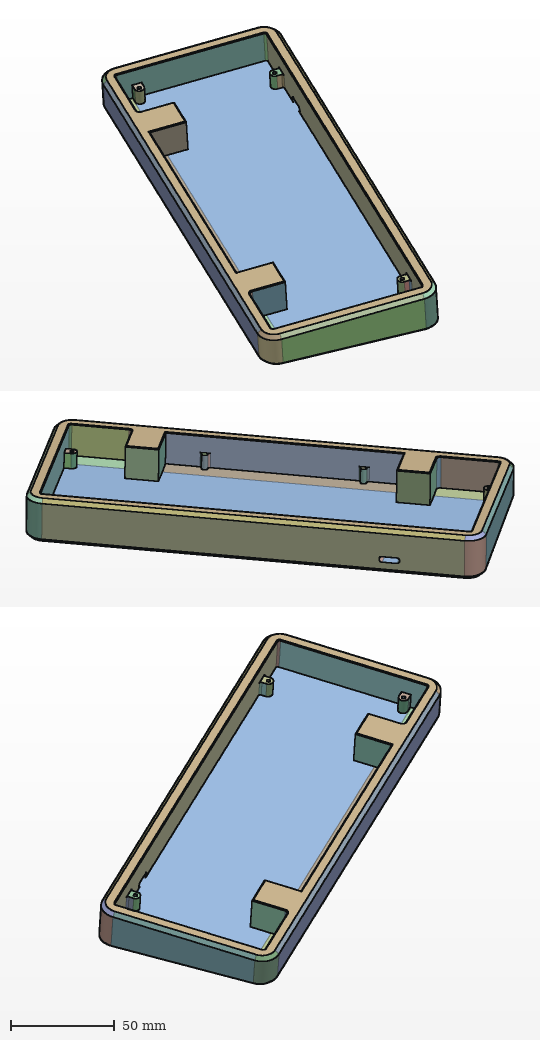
import cadquery as cq
import math

length = 225.3
depth = 92.0
back_height = 23.0
typing_angle = 3.0
outer_radius = 9.0
edge_chamfer = 2.0

wall = 7.0
front_wall = 6.8
cavity_radius = 1.1
cavity_depth = 17.3
base_thickness = 1.73
mouth_chamfer = 0.5

block_width = 16.5
block_reach = 19.0
block_spacing = 133.2
block_root_radius = 1.8

post_top = 9.2
post_radius = 2.5
post_offset = 3.4
screw_hole_diameter = 1.8
screw_hole_depth = 5.6
back_post_spacing = 171.5
side_post_from_front = 17.8
peg_radius = 1.5
peg_offset = 1.1
peg_spacing = 78.0
root_radius = 1.0

slot_width = 10.1
slot_height = 3.0
slot_x = -67.0

slope = math.radians(typing_angle)
front_height = back_height - (depth - edge_chamfer) * math.sin(slope)
cavity_length = length - 2 * wall
cavity_back = depth - wall
overlap = 3.4
post_length = cavity_depth - post_top + base_thickness / 2

rim = cq.Plane(
    origin=(0, -depth * math.cos(slope) / 2, front_height),
    xDir=(1, 0, 0),
    normal=(0, -math.sin(slope), math.cos(slope)),
)
along_rim_normal = cq.selectors.ParallelDirSelector(rim.zDir)
facing_rim = cq.selectors.DirectionMinMaxSelector(rim.zDir)


def rim_box(x_size, y_start, y_end, height):
    """Box hanging from the rim plane, centred in X."""
    return cq.Workplane(rim).center(0, (y_start + y_end) / 2).rect(x_size, y_end - y_start).extrude(-height)


def space_above(level):
    """Everything above a horizontal level."""
    return cq.Workplane("XY").workplane(offset=level).rect(2 * length, 2 * length).extrude(2 * length)


def shell_blank():
    blank = rim_box(length, 0, depth, 2 * back_height).edges(along_rim_normal).fillet(outer_radius)
    blank = blank.faces(facing_rim).edges().chamfer(edge_chamfer)
    return blank.intersect(space_above(0)).faces("<Z").edges().chamfer(edge_chamfer)


def cavity():
    """Pocket parallel to the rim, left around the blocks, with a level floor strip at the front."""
    pocket = rim_box(cavity_length, front_wall, cavity_back, cavity_depth)
    pocket = pocket.edges(along_rim_normal).fillet(cavity_radius)
    block = rim_box(block_width, front_wall - overlap, front_wall + block_reach, cavity_depth)
    for side in (-1, 1):
        pocket = pocket.cut(block.translate((side * block_spacing / 2, 0, 0)))
    for side in (-1, 1):
        root = rim.toWorldCoords((side * (block_spacing + block_width) / 2, front_wall, -cavity_depth / 2))
        pocket = pocket.edges(cq.selectors.NearestToPointSelector(root.toTuple())).fillet(block_root_radius)
    return pocket.intersect(space_above(base_thickness))


def chamfer_mouth(tray):
    """Break the inner edge of the rim, blocks included."""
    mouth = tray.faces(facing_rim).val().innerWires()[0]
    return tray.newObject(mouth.Edges()).chamfer(mouth_chamfer)


def standing_post(x, y, radius, offset, wall_direction, root=0.0):
    """Round-nosed post at (x, y) on the rim frame, joined to the wall lying at wall_direction degrees."""
    flank_end = offset - root
    outline = (
        cq.Workplane(rim.rotated((0, 0, wall_direction)))
        .moveTo(0, -radius)
        .threePointArc((-radius, 0), (0, radius))
        .lineTo(flank_end, radius)
    )
    if root:
        outline = outline.radiusArc((offset, radius + root), -root)
    outline = outline.lineTo(offset + overlap, radius + root).lineTo(offset + overlap, -radius - root)
    outline = outline.lineTo(offset, -radius - root)
    if root:
        outline = outline.radiusArc((flank_end, -radius), -root)
    post = outline.close().extrude(-post_length)
    shift = rim.toWorldCoords((x, y, -post_top)) - rim.origin
    return post.translate(shift)


def screw_hole(x, y):
    return (
        cq.Workplane(rim)
        .workplane(offset=-post_top)
        .center(x, y)
        .circle(screw_hole_diameter / 2)
        .extrude(-screw_hole_depth)
    )


def cable_slot():
    """Round-ended slot through the back wall, its lower side on the cavity floor."""
    centre = rim.toWorldCoords((slot_x, cavity_back - overlap / 2, slot_height / 2 - cavity_depth))
    slot_plane = cq.Plane(origin=centre, xDir=(1, 0, 0), normal=-rim.yDir)
    return cq.Workplane(slot_plane).slot2D(slot_width, slot_height).extrude(-wall - 2 * overlap)


tray = chamfer_mouth(shell_blank().cut(cavity()))

for side in (-1, 1):
    back_post = (side * back_post_spacing / 2, cavity_back - post_offset)
    side_post = (side * (cavity_length / 2 - post_offset), side_post_from_front)
    peg = (side * peg_spacing / 2, front_wall + peg_offset)
    tray = tray.union(standing_post(*back_post, post_radius, post_offset, 90, root_radius))
    tray = tray.union(standing_post(*side_post, post_radius, post_offset, 90 - 90 * side))
    tray = tray.union(standing_post(*peg, peg_radius, peg_offset, -90, root_radius))
    tray = tray.cut(screw_hole(*back_post)).cut(screw_hole(*side_post))

result = tray.cut(cable_slot())